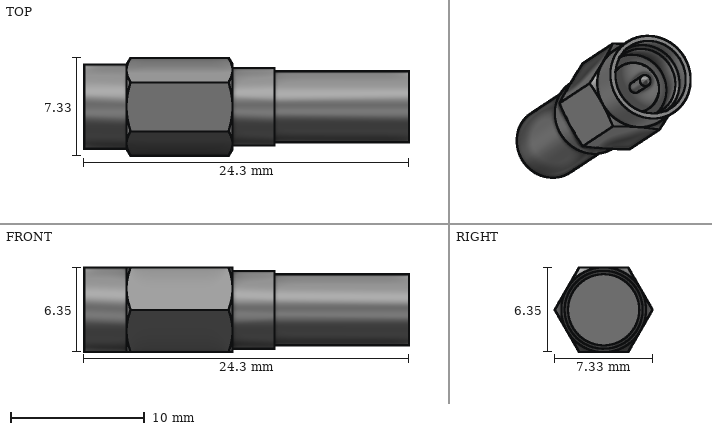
import cadquery as cq
import math

TOTAL_LENGTH = 24.33
HEX_START = 3.175
HEX_END = 11.11
COLLAR_END = 14.25

HEX_SIDES = 6
HEX_FLATS = 6.35
HEX_CORNERS = HEX_FLATS / math.cos(math.pi / HEX_SIDES)
SLEEVE_DIAMETER = 6.33
COLLAR_DIAMETER = 5.84
FERRULE_DIAMETER = 5.33

BEVEL_FACE_DIAMETER = HEX_FLATS
BEVEL_LENGTH = 0.3

MOUTH_DIAMETER = 5.54
MOUTH_DEPTH = 1.52
BORE_DIAMETER = 5.08
STEP_DEPTH = 0.29
SOCKET_DEPTH = 4.0

INSULATOR_DIAMETER = 3.8
INSULATOR_HEIGHT = 0.2

PIN_DIAMETER = 0.85
PIN_TIP_X = 0.85
PIN_TIP_LENGTH = 0.45


def cylinder(diameter, start, end):
    """Round bar on the X axis between two stations."""
    return cq.Workplane("YZ", origin=(start, 0, 0)).circle(diameter / 2).extrude(end - start)


def revolve_profile(points):
    """Turn a closed (x, radius) outline about the X axis."""
    return cq.Workplane("XY").polyline(points).close().revolve(360, (0, 0, 0), (1, 0, 0))


def hex_nut():
    """Hexagon with corners along Y and conical bevels at both ends."""
    length = HEX_END - HEX_START
    nut_plane = cq.Workplane("YZ", origin=(HEX_START, 0, 0))
    hexagon = nut_plane.polygon(HEX_SIDES, HEX_CORNERS).extrude(length)
    face_radius = BEVEL_FACE_DIAMETER / 2
    corner_radius = HEX_CORNERS / 2
    envelope = revolve_profile([
        (HEX_START, 0),
        (HEX_START, face_radius),
        (HEX_START + BEVEL_LENGTH, corner_radius),
        (HEX_END - BEVEL_LENGTH, corner_radius),
        (HEX_END, face_radius),
        (HEX_END, 0),
    ])
    return hexagon.intersect(envelope)


def socket():
    """Volume removed from the open end."""
    step_end = MOUTH_DEPTH + STEP_DEPTH
    return revolve_profile([
        (0, 0),
        (0, MOUTH_DIAMETER / 2),
        (MOUTH_DEPTH, MOUTH_DIAMETER / 2),
        (step_end, BORE_DIAMETER / 2),
        (SOCKET_DEPTH, BORE_DIAMETER / 2),
        (SOCKET_DEPTH, 0),
    ])


def center_contact():
    """Pointed pin together with the insulator disk around its root."""
    pin_radius = PIN_DIAMETER / 2
    insulator_radius = INSULATOR_DIAMETER / 2
    insulator_face = SOCKET_DEPTH - INSULATOR_HEIGHT
    return revolve_profile([
        (PIN_TIP_X, 0),
        (PIN_TIP_X + PIN_TIP_LENGTH, pin_radius),
        (insulator_face, pin_radius),
        (insulator_face, insulator_radius),
        (SOCKET_DEPTH, insulator_radius),
        (SOCKET_DEPTH, 0),
    ])


body = (
    cylinder(SLEEVE_DIAMETER, 0, HEX_START)
    .union(hex_nut())
    .union(cylinder(COLLAR_DIAMETER, HEX_END, COLLAR_END))
    .union(cylinder(FERRULE_DIAMETER, COLLAR_END, TOTAL_LENGTH))
)
result = body.cut(socket()).union(center_contact())